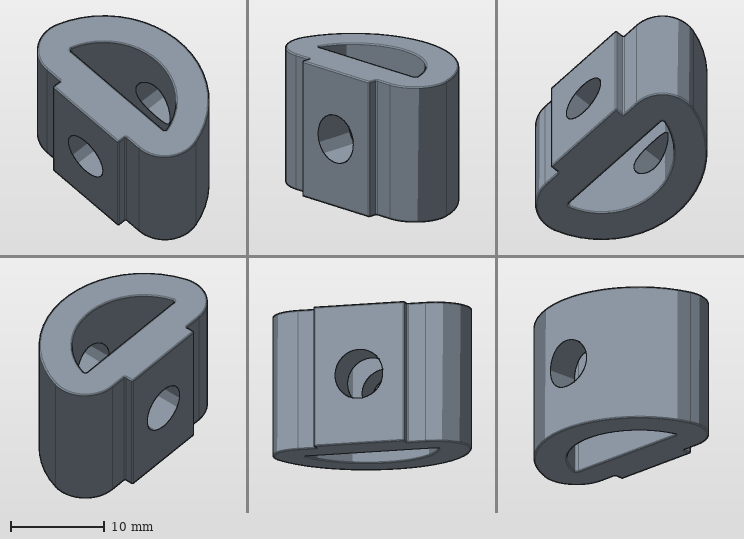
import cadquery as cq
import math

width = 21.97
depth = 14.02
height = 15.31

wall = 3.55
corner_radius = 3.82
pad_width = 10.2
pad_depth = 1.1
hole_diameter = 5.35
edge_radius = 0.15

corner_x = width / 2 - corner_radius
corner_y = pad_depth + corner_radius

corner_drop = depth - corner_y
crown_radius = (corner_drop**2 + corner_x**2 - corner_radius**2) / (2 * (corner_drop - corner_radius))
crown_y = depth - crown_radius
blend_angle = math.atan2(corner_y - crown_y, corner_x)


def d_prism(inset):
    """Full-height D-shaped prism, offset inwards from the outer ring outline."""
    radius = corner_radius - inset
    base_y = pad_depth + inset
    blend_x = corner_x + radius * math.cos(blend_angle)
    blend_y = corner_y + radius * math.sin(blend_angle)
    middle_angle = (blend_angle - math.pi / 2) / 2
    middle_x = corner_x + radius * math.cos(middle_angle)
    middle_y = corner_y + radius * math.sin(middle_angle)
    return (
        cq.Workplane("XY")
        .workplane(offset=-height / 2)
        .moveTo(-corner_x, base_y)
        .lineTo(corner_x, base_y)
        .threePointArc((middle_x, middle_y), (blend_x, blend_y))
        .threePointArc((0, depth - inset), (-blend_x, blend_y))
        .threePointArc((-middle_x, middle_y), (-corner_x, base_y))
        .close()
        .extrude(height)
    )


def pad_block():
    """Raised flat pad, reaching into the lower wall so that it fuses with the ring."""
    pad_reach = pad_depth + wall / 2
    return cq.Workplane("XY").box(pad_width, pad_reach, height, centered=(True, False, True))


def cross_hole():
    """Round hole along Y through the pad, the lower wall and the crown."""
    return cq.Workplane("XZ").circle(hole_diameter / 2).extrude(-depth)


body = d_prism(0).union(pad_block())

pad_edges = cq.selectors.BoxSelector(
    (-pad_width / 2 - edge_radius, -edge_radius, -height),
    (pad_width / 2 + edge_radius, pad_depth + edge_radius, height),
)
body = body.edges("|Z").edges(pad_edges).fillet(edge_radius)

body = body.cut(d_prism(wall))
body = body.faces("<Z or >Z").edges().fillet(edge_radius)

result = body.cut(cross_hole())